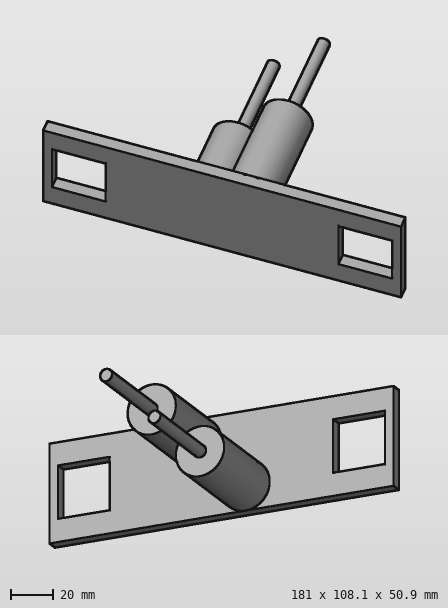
import cadquery as cq

plate_length = 181.0
plate_height = 50.9
plate_thickness = 6.3

window_side = 27.1
window_edge_margin = 4.5
window_offset = plate_length / 2 - window_edge_margin - window_side / 2

barrel_diameter = plate_height / 2
barrel_length = 50.9
rod_diameter = 6.3
rod_length = 50.9
pin_offset = barrel_diameter / 2


def cylinder_along_y(x, y, z, diameter, length):
    """Solid cylinder starting at (x, y, z) and running toward +Y."""
    return cq.Workplane(
        cq.Solid.makeCylinder(diameter / 2, length, cq.Vector(x, y, z), cq.Vector(0, 1, 0))
    )


result = cq.Workplane("XY").box(
    plate_length, plate_thickness, plate_height, centered=(True, False, True)
)

for side in (-1, 1):
    window = (
        cq.Workplane("XY")
        .box(window_side, plate_thickness, window_side, centered=(True, False, True))
        .translate((side * window_offset, 0, 0))
    )
    result = result.cut(window)

for side in (-1, 1):
    x = z = side * pin_offset
    barrel = cylinder_along_y(x, plate_thickness, z, barrel_diameter, barrel_length)
    rod = cylinder_along_y(x, plate_thickness + barrel_length, z, rod_diameter, rod_length)
    result = result.union(barrel).union(rod)